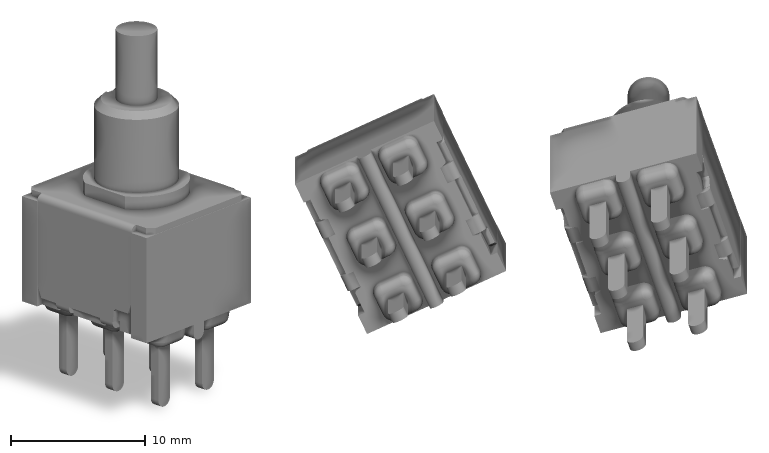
import cadquery as cq


HOUSING_BOTTOM = 6.35
HOUSING_TOP = 14.73
BUSHING_TOP = 22.6
PLUNGER_TOP = 28.15

HOUSING_LENGTH = 12.7
HOUSING_WIDTH = 11.43
RIDGE_WIDTH = 1.1
RIDGE_DEPTH = 1.3

SHEET = 0.5
FRAME_INSET = 0.03
LEG_WIDTH = 9.57
LEG_BOTTOM = 7.1
PLATE_TOP = HOUSING_TOP + SHEET
PLATE_CORNER_CHAMFER = 0.5

CUT_CORNER_WIDTH = 0.4
CUT_CORNER_TOP = 8.1
STEP_TOP = 9.1
STEP_SHOULDER_X = 4.42
STEP_SHOULDER_Z = 8.2
STEP_BREAK_X = 3.18
STEP_BREAK = 0.2
STEP_FOOT_X = 2.9

NOTCH_INNER_X = 1.58
NOTCH_MOUTH_X = 3.18
NOTCH_FLOOR_X = 2.87
NOTCH_DEPTH = 0.55
NOTCH_LIP_RADIUS = 0.17
TAB_DROP = 0.08

FLANGE_DIAMETER = 8.0
FLANGE_FLATS = 6.87
FLANGE_HEIGHT = 1.05
BUSHING_DIAMETER = 6.35
BUSHING_CHAMFER = 0.5
KEYWAY_WIDTH = 1.05
KEYWAY_FLOOR_X = 2.4
PLUNGER_DIAMETER = 3.1

PIN_THICKNESS = 0.75
PIN_WIDTH = 1.27
PIN_SPACING_X = 4.67
PIN_SPACING_Y = 4.8
BEAD_LENGTH = 3.13
BEAD_WIDTH = 3.25
BEAD_HEIGHT = 1.18
BEAD_CORNER_RADIUS = 0.82
BEAD_TAPER = 9.0
BEAD_EDGE_RADIUS = 0.6

OVERLAP = 0.15

FRONT_Y = -HOUSING_WIDTH / 2
LEG_Y = FRONT_Y + FRAME_INSET
RECESS_Y = LEG_Y + SHEET
NOTCH_FLOOR_Y = RECESS_Y + NOTCH_DEPTH
FLANGE_TOP = PLATE_TOP + FLANGE_HEIGHT


def box(x_min, x_max, y_min, y_max, z_min, z_max):
    """Axis-aligned box between the given limits."""
    return (
        cq.Workplane("XY", origin=((x_min + x_max) / 2, (y_min + y_max) / 2, z_min))
        .rect(x_max - x_min, y_max - y_min)
        .extrude(z_max - z_min)
    )


def on_both_sides(solid):
    """The front feature together with its mirror image at the back."""
    return solid.union(solid.mirror("XZ"))


def rounded_bar(x_center, y_center, thickness, width, bottom, top):
    """Upright bar, `thickness` along X, whose lower end is a full round across Y."""
    radius = width / 2
    return (
        cq.Workplane("YZ", origin=(x_center - thickness / 2, y_center, 0))
        .moveTo(-radius, top)
        .lineTo(-radius, bottom + radius)
        .threePointArc((0, bottom), (radius, bottom + radius))
        .lineTo(radius, top)
        .close()
        .extrude(thickness)
    )


def housing_notch(side):
    """Front notch at the foot of the housing; `side` is -1 or +1 along X."""
    lip_end = (side * (NOTCH_MOUTH_X - NOTCH_LIP_RADIUS), RECESS_Y + NOTCH_LIP_RADIUS)
    return (
        cq.Workplane("XY", origin=(0, 0, HOUSING_BOTTOM))
        .moveTo(side * NOTCH_INNER_X, RECESS_Y)
        .lineTo(side * NOTCH_MOUTH_X, RECESS_Y)
        .radiusArc(lip_end, side * NOTCH_LIP_RADIUS)
        .lineTo(side * NOTCH_FLOOR_X, NOTCH_FLOOR_Y)
        .lineTo(side * NOTCH_INNER_X, NOTCH_FLOOR_Y)
        .close()
        .extrude(LEG_BOTTOM - HOUSING_BOTTOM)
    )


def make_housing():
    """Block with a leg recess and two notches on each long side, and a ridge below."""
    body = box(
        -HOUSING_LENGTH / 2, HOUSING_LENGTH / 2, FRONT_Y, -FRONT_Y, HOUSING_BOTTOM, HOUSING_TOP
    )
    cuts = box(-LEG_WIDTH / 2, LEG_WIDTH / 2, FRONT_Y, RECESS_Y, HOUSING_BOTTOM, HOUSING_TOP)
    for side in (-1, 1):
        cuts = cuts.union(housing_notch(side))
    ridge = rounded_bar(
        0, 0, HOUSING_LENGTH, RIDGE_WIDTH, HOUSING_BOTTOM - RIDGE_DEPTH, HOUSING_BOTTOM + OVERLAP
    )
    return body.cut(on_both_sides(cuts)).union(ridge)


def make_leg():
    """Front leg: a flat sheet with a shaped lower edge, rounded at the top bend."""
    half = LEG_WIDTH / 2
    sheet = (
        cq.Workplane("XZ", origin=(0, RECESS_Y, 0))
        .polyline([
            (-half, PLATE_TOP),
            (-half, CUT_CORNER_TOP),
            (-half + CUT_CORNER_WIDTH, LEG_BOTTOM),
            (STEP_FOOT_X, LEG_BOTTOM),
            (STEP_BREAK_X - STEP_BREAK, STEP_SHOULDER_Z - STEP_BREAK),
            (STEP_BREAK_X, STEP_SHOULDER_Z),
            (STEP_SHOULDER_X, STEP_SHOULDER_Z),
            (half, STEP_TOP),
            (half, PLATE_TOP),
        ])
        .close()
        .extrude(SHEET)
    )
    bend = (
        cq.Workplane("YZ", origin=(-half, RECESS_Y, HOUSING_TOP))
        .circle(SHEET)
        .extrude(LEG_WIDTH)
    )
    flat_part = box(-half, half, LEG_Y, RECESS_Y, HOUSING_BOTTOM, HOUSING_TOP)
    return sheet.intersect(bend.union(flat_part))


def make_tab(side):
    """Tab rolled under from the front leg into its notch; `side` is -1 or +1."""
    bend_top = LEG_BOTTOM - TAB_DROP
    bend_bottom = bend_top - SHEET
    inner, outer = sorted((side * NOTCH_INNER_X, side * NOTCH_FLOOR_X))
    return (
        cq.Workplane("YZ", origin=(inner, 0, 0))
        .moveTo(LEG_Y, LEG_BOTTOM)
        .lineTo(LEG_Y, bend_top)
        .radiusArc((RECESS_Y, bend_bottom), -SHEET)
        .lineTo(NOTCH_FLOOR_Y, bend_bottom)
        .lineTo(NOTCH_FLOOR_Y, LEG_BOTTOM)
        .close()
        .extrude(outer - inner)
    )


def make_frame():
    """Top plate with chamfered corners, two legs and four retaining tabs."""
    plate_end = HOUSING_LENGTH / 2 - FRAME_INSET
    plate = box(-plate_end, plate_end, RECESS_Y, -RECESS_Y, HOUSING_TOP, PLATE_TOP)
    plate = plate.edges("|Z").chamfer(PLATE_CORNER_CHAMFER)
    side = make_leg().union(make_tab(-1)).union(make_tab(1))
    return plate.union(on_both_sides(side))


def make_bushing():
    """Flange with two flats, and a chamfered bushing with a keyway on its -X side."""
    flange = cq.Workplane("XY", origin=(0, 0, PLATE_TOP)).circle(FLANGE_DIAMETER / 2)
    flange = flange.extrude(FLANGE_HEIGHT).intersect(
        box(
            -FLANGE_DIAMETER, FLANGE_DIAMETER, -FLANGE_FLATS / 2, FLANGE_FLATS / 2,
            PLATE_TOP, FLANGE_TOP,
        )
    )
    barrel = (
        cq.Workplane("XY", origin=(0, 0, FLANGE_TOP))
        .circle(BUSHING_DIAMETER / 2)
        .extrude(BUSHING_TOP - FLANGE_TOP)
        .faces(">Z")
        .chamfer(BUSHING_CHAMFER)
    )
    keyway = box(
        -BUSHING_DIAMETER, -KEYWAY_FLOOR_X, -KEYWAY_WIDTH / 2, KEYWAY_WIDTH / 2,
        FLANGE_TOP, BUSHING_TOP,
    )
    return flange.union(barrel.cut(keyway))


def make_plunger():
    """Round push rod standing out of the bushing."""
    return (
        cq.Workplane("XY", origin=(0, 0, FLANGE_TOP))
        .circle(PLUNGER_DIAMETER / 2)
        .extrude(PLUNGER_TOP - FLANGE_TOP)
    )


def make_terminal(x_center, y_center):
    """Flat pin with a round tip, standing in a tapered bead under the housing."""
    bead = (
        cq.Workplane("XY", origin=(x_center, y_center, HOUSING_BOTTOM))
        .sketch()
        .rect(BEAD_LENGTH, BEAD_WIDTH)
        .vertices()
        .fillet(BEAD_CORNER_RADIUS)
        .finalize()
        .extrude(-BEAD_HEIGHT, taper=BEAD_TAPER)
        .faces("<Z")
        .edges()
        .fillet(BEAD_EDGE_RADIUS)
    )
    pin = rounded_bar(x_center, y_center, PIN_THICKNESS, PIN_WIDTH, 0, HOUSING_BOTTOM + OVERLAP)
    return bead.union(pin)


result = make_housing().union(make_frame()).union(make_bushing()).union(make_plunger())
for column in (-1, 0, 1):
    for row in (-1, 1):
        result = result.union(make_terminal(column * PIN_SPACING_X, row * PIN_SPACING_Y / 2))